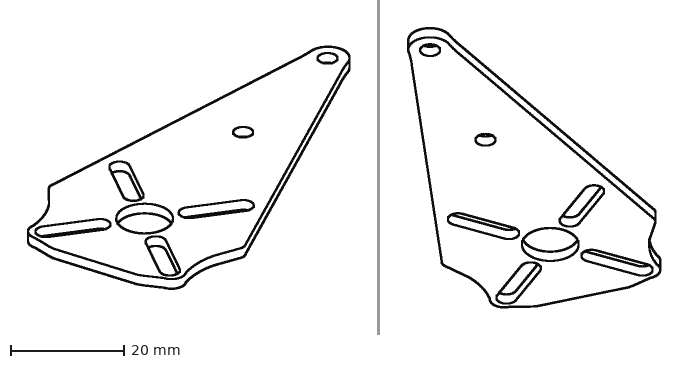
import cadquery as cq
import math

thickness = 2.0
plate_tilt = 0.65

bore_diameter = 10.0
pin_diameter = 3.5
tip_hole_y = 63.2
middle_hole_y = 34.0

slot_width = 3.6
slot_inner_radius = 8.1
slot_outer_radius = 18.0
slot_count = 4
first_slot_angle = 45

tip_radius = 4.0
tip_arc_end = (3.7, 64.3)
flank_top = (4.8, 59.2)
wing_top = (19.8, 1.7)
wing_middle = (20.0, 0.85)
wing_bottom = (19.7, 0.0)
waist_top = (16.9, -4.6)
waist_middle = (15.8, -8.0)
waist_bottom = (15.7, -12.05)
lobe_end = (13.2, -15.6)
base_corner_top = (9.7, -16.8)
base_corner_end = (8.6, -17.0)

lobe_radius = 3.1
slot_end_offset = slot_outer_radius * math.sqrt(0.5)
lobe_middle_offset = slot_end_offset + lobe_radius * math.sqrt(0.5)
lobe_middle = (lobe_middle_offset, -lobe_middle_offset)


def mirrored(point):
    """Return the matching point on the left half."""
    return (-point[0], point[1])


def plate_blank():
    tip = (0, tip_hole_y + tip_radius)
    neck_middle = (4.1, 61.85)
    outline = (
        cq.Workplane("XY")
        .moveTo(*mirrored(tip_arc_end))
        .threePointArc(tip, tip_arc_end)
        .threePointArc(neck_middle, flank_top)
        .lineTo(*wing_top)
        .threePointArc(wing_middle, wing_bottom)
        .lineTo(*waist_top)
        .threePointArc(waist_middle, waist_bottom)
        .threePointArc(lobe_middle, lobe_end)
        .lineTo(*base_corner_top)
        .lineTo(*base_corner_end)
        .lineTo(*mirrored(base_corner_end))
        .lineTo(*mirrored(base_corner_top))
        .lineTo(*mirrored(lobe_end))
        .threePointArc(mirrored(lobe_middle), mirrored(waist_bottom))
        .threePointArc(mirrored(waist_middle), mirrored(waist_top))
        .lineTo(*mirrored(wing_bottom))
        .threePointArc(mirrored(wing_middle), mirrored(wing_top))
        .lineTo(*mirrored(flank_top))
        .threePointArc(mirrored(neck_middle), mirrored(tip_arc_end))
        .close()
    )
    return outline.extrude(thickness)


def axis_holes():
    bore = cq.Workplane("XY").circle(bore_diameter / 2).extrude(thickness)
    pins = (
        cq.Workplane("XY")
        .pushPoints([(0, middle_hole_y), (0, tip_hole_y)])
        .circle(pin_diameter / 2)
        .extrude(thickness)
    )
    return bore.union(pins)


def diagonal_slot(angle):
    slot_length = slot_outer_radius - slot_inner_radius + slot_width
    slot = (
        cq.Workplane("XY")
        .center((slot_inner_radius + slot_outer_radius) / 2, 0)
        .slot2D(slot_length, slot_width)
        .extrude(thickness)
    )
    return slot.rotate((0, 0, 0), (0, 0, 1), angle)


plate = plate_blank().cut(axis_holes())
for index in range(slot_count):
    plate = plate.cut(diagonal_slot(first_slot_angle + index * 360 / slot_count))

result = plate.rotate((0, 0, 0), (0, 0, 1), plate_tilt)